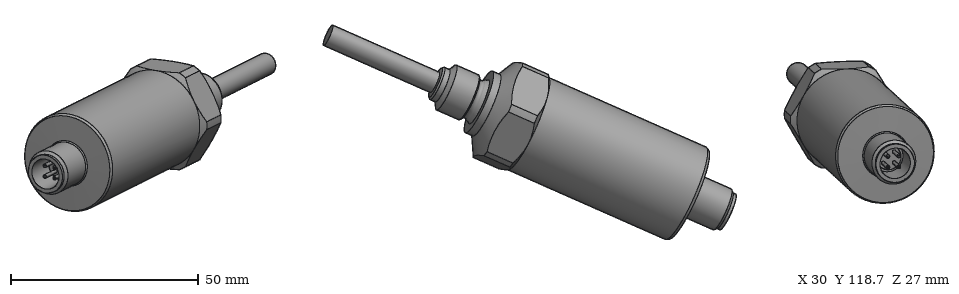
import cadquery as cq
import math


body_diameter = 27.0
body_front_y = 11.75
body_rear_y = 59.4
body_chamfer_length = 0.8
body_chamfer_depth = 0.4
face_crown = 0.2

plug_diameter = 12.0
plug_base_width = 0.3
plug_base_length = 0.4
plug_tip_diameter = 10.5
plug_tip_length = 0.9
plug_tip_chamfer = (plug_diameter - plug_tip_diameter) / 2
socket_diameter = 8.3
socket_depth = 9.0
pin_diameter = 1.0
pin_circle_diameter = 4.2
pin_count = 4
first_pin_angle = 45.0
pin_recess = 2.0
pin_tip_chamfer = 0.25
insert_diameter = 6.8
insert_height = 1.0
keyway_width = 1.2
keyway_depth = 0.4

hex_sides = 6
hex_across_flats = body_diameter
hex_corner_diameter = 29.99
hex_cone_angle = 30.0
hex_front_chamfer_length = 1.2

collar_diameter = 18.0
collar_front_y = 71.75
collar_rear_y = 73.9
neck_base_diameter = 12.8
neck_flare_y = 74.9
neck_flare_diameter = 11.7
neck_diameter = 11.0
neck_middle_y = 75.7
nut_diameter = 13.16
nut_front_y = 76.6
nut_front_diameter = 12.4
nut_front_chamfer_length = 0.4
nut_shoulder_y = 83.6
nut_rear_y = 84.75
nut_cap_diameter = 9.5
nut_cap_rear_y = 86.8
nut_cap_chamfer = 0.5
nut_end_y = 87.0

cable_diameter = 6.0
total_length = 118.7


def revolve_profile(outline):
    """Revolve (radius, y) points, closed along the axis, about Y."""
    start_y = outline[0][1]
    end_y = outline[-1][1]
    points = [(0, start_y)] + outline + [(0, end_y)]
    return cq.Workplane("XY").polyline(points).close().revolve(360, (0, 0, 0), (0, 1, 0))


def cylinder(diameter, start_y, end_y):
    """Cylinder on the Y axis between two positions."""
    base = cq.Workplane("XZ", origin=(0, start_y, 0)).circle(diameter / 2)
    return base.extrude(start_y - end_y)


def make_body():
    radius = body_diameter / 2
    crown_radius = plug_diameter / 2 + plug_base_width
    return revolve_profile([
        (crown_radius, body_front_y - face_crown),
        (radius - body_chamfer_depth, body_front_y),
        (radius, body_front_y + body_chamfer_length),
        (radius, body_rear_y),
    ])


def make_plug():
    radius = plug_diameter / 2
    tip_radius = plug_tip_diameter / 2
    base_y = body_front_y - face_crown
    shell = revolve_profile([
        (tip_radius, 0),
        (tip_radius, plug_tip_length),
        (radius, plug_tip_length + plug_tip_chamfer),
        (radius, base_y - plug_base_length),
        (radius + plug_base_width, base_y),
        (radius + plug_base_width, body_front_y),
    ])
    socket = cylinder(socket_diameter, 0, socket_depth)
    return shell.cut(socket).union(make_insert()).union(make_pins())


def make_insert():
    """Raised disc on the socket floor with a keyway at its top."""
    disc = cylinder(insert_diameter, socket_depth - insert_height, body_front_y)
    keyway_floor_z = insert_diameter / 2 - keyway_depth
    keyway = (
        cq.Workplane("XY", origin=(0, socket_depth - insert_height, keyway_floor_z))
        .rect(keyway_width, 2 * insert_height)
        .extrude(2 * keyway_depth)
    )
    return disc.cut(keyway)


def make_pins():
    pin = cylinder(pin_diameter, pin_recess, socket_depth).faces("<Y").chamfer(pin_tip_chamfer)
    pins = cq.Workplane("XY")
    for index in range(pin_count):
        angle = math.radians(first_pin_angle + index * 360 / pin_count)
        x = pin_circle_diameter / 2 * math.cos(angle)
        z = pin_circle_diameter / 2 * math.sin(angle)
        pins = pins.union(pin.translate((x, 0, z)))
    return pins


def make_hexagon():
    """Hexagon with flats on +Z and -Z, its corners turned down and both ends coned."""
    corner_to_corner = hex_across_flats / math.cos(math.pi / hex_sides)
    prism = (
        cq.Workplane("XZ", origin=(0, body_rear_y, 0))
        .polygon(hex_sides, corner_to_corner)
        .extrude(body_rear_y - collar_front_y)
    )
    slope = math.tan(math.radians(hex_cone_angle))
    front_radius = body_diameter / 2
    corner_radius = hex_corner_diameter / 2
    rear_radius = collar_diameter / 2
    envelope = revolve_profile([
        (front_radius, body_rear_y),
        (corner_radius, body_rear_y + hex_front_chamfer_length),
        (corner_radius, collar_front_y - (corner_radius - rear_radius) * slope),
        (rear_radius, collar_front_y),
    ])
    return prism.intersect(envelope)


def make_gland():
    """Collar, hollow-waisted neck and nut that hold the cable."""
    collar_radius = collar_diameter / 2
    nut_radius = nut_diameter / 2
    cap_radius = nut_cap_diameter / 2
    return (
        cq.Workplane("XY")
        .moveTo(0, collar_front_y)
        .lineTo(collar_radius, collar_front_y)
        .lineTo(collar_radius, collar_rear_y)
        .lineTo(neck_base_diameter / 2, collar_rear_y)
        .lineTo(neck_flare_diameter / 2, neck_flare_y)
        .threePointArc((neck_diameter / 2, neck_middle_y), (nut_front_diameter / 2, nut_front_y))
        .lineTo(nut_radius, nut_front_y + nut_front_chamfer_length)
        .lineTo(nut_radius, nut_shoulder_y)
        .lineTo(cap_radius, nut_rear_y)
        .lineTo(cap_radius, nut_cap_rear_y - nut_cap_chamfer)
        .lineTo(cap_radius - nut_cap_chamfer, nut_cap_rear_y)
        .lineTo(cable_diameter / 2, nut_end_y)
        .lineTo(0, nut_end_y)
        .close()
        .revolve(360, (0, 0, 0), (0, 1, 0))
    )


def make_cable():
    return cylinder(cable_diameter, nut_end_y, total_length)


result = (
    make_body()
    .union(make_plug())
    .union(make_hexagon())
    .union(make_gland())
    .union(make_cable())
)